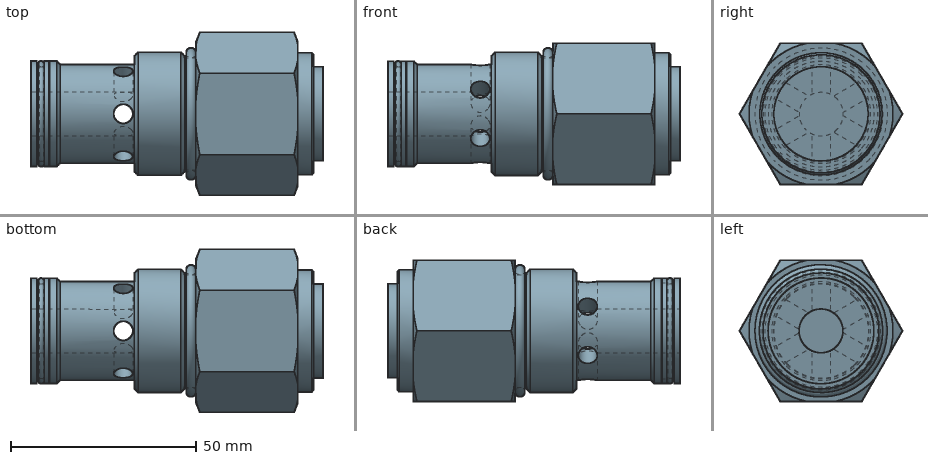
import cadquery as cq
import math


OVERALL_LENGTH = 78.75
SEAL_GROOVE_START = 1.6
SEAL_GROOVE_END = 5.0
NOSE_LAND_END = 6.9
COLLAR_START = 27.9
COLLAR_END = 41.4
HEX_START = 44.5
HEX_END = 72.0
FLANGE_END = 76.2

NOSE_DIAMETER = 28.5
BARREL_DIAMETER = 26.7
COLLAR_DIAMETER = 33.3
FLANGE_DIAMETER = 33.0
SEAL_GROOVE_DIAMETER = 25.8
FACE_GROOVE_DIAMETER = 30.3
NOSE_TAPER = (NOSE_DIAMETER - BARREL_DIAMETER) / 2
COLLAR_CHAMFER = 1.0
FLANGE_CHAMFER = 0.55

HEX_ACROSS_FLATS = 38.1
HEX_ACROSS_CORNERS = HEX_ACROSS_FLATS / math.cos(math.pi / 6)
HEX_FACE_DIAMETER = 38.8
HEX_CORNER_CHAMFER = 1.0

BORE_DIAMETER = 11.8
BORE_DEPTH = COLLAR_START
CROSS_HOLE_DIAMETER = 5.1
CROSS_HOLE_COUNT = 6
CROSS_HOLE_POSITION = 24.9

NOSE_RING_SECTION = 1.6
NOSE_RING_OUTER_DIAMETER = 28.6
NOSE_RING_CENTRE = 2.75
BACKUP_RING_START = NOSE_RING_CENTRE + NOSE_RING_SECTION / 2
BACKUP_RING_END = 4.8
FACE_RING_SECTION = 2.7
FACE_RING_OUTER_DIAMETER = FACE_GROOVE_DIAMETER + 2 * FACE_RING_SECTION
FACE_RING_CENTRE = HEX_START - FACE_RING_SECTION / 2

CAP_DIAMETER = 25.4


def cylinder(start, end, diameter):
    """Solid cylinder along X between two positions."""
    return cq.Workplane("YZ", origin=(start, 0, 0)).circle(diameter / 2).extrude(end - start)


def o_ring(centre, outer_diameter, section):
    """Torus around the X axis."""
    middle_radius = (outer_diameter - section) / 2
    return (
        cq.Workplane("XY")
        .center(centre, middle_radius)
        .circle(section / 2)
        .revolve(360, (0, -middle_radius), (1, -middle_radius))
    )


def make_turned_body():
    """Nose, barrel, collar, hexagon core and flange, revolved from one half profile."""
    nose = NOSE_DIAMETER / 2
    barrel = BARREL_DIAMETER / 2
    collar = COLLAR_DIAMETER / 2
    flange = FLANGE_DIAMETER / 2
    seal_floor = SEAL_GROOVE_DIAMETER / 2
    face_floor = FACE_GROOVE_DIAMETER / 2
    profile = [
        (0, 0),
        (0, nose),
        (SEAL_GROOVE_START, nose),
        (SEAL_GROOVE_START, seal_floor),
        (SEAL_GROOVE_END, seal_floor),
        (SEAL_GROOVE_END, nose),
        (NOSE_LAND_END, nose),
        (NOSE_LAND_END + NOSE_TAPER, barrel),
        (COLLAR_START, barrel),
        (COLLAR_START, collar - COLLAR_CHAMFER),
        (COLLAR_START + COLLAR_CHAMFER, collar),
        (COLLAR_END - COLLAR_CHAMFER, collar),
        (COLLAR_END, collar - COLLAR_CHAMFER),
        (COLLAR_END, face_floor),
        (HEX_START, face_floor),
        (HEX_START, flange),
        (FLANGE_END - FLANGE_CHAMFER, flange),
        (FLANGE_END, flange - FLANGE_CHAMFER),
        (FLANGE_END, 0),
    ]
    return cq.Workplane("XY").polyline(profile).close().revolve(360, (0, 0), (1, 0))


def make_hexagon():
    """Hexagonal prism with its corners turned down conically at both ends."""
    prism = (
        cq.Workplane("YZ", origin=(HEX_START, 0, 0))
        .polygon(6, HEX_ACROSS_CORNERS)
        .extrude(HEX_END - HEX_START)
    )
    face = HEX_FACE_DIAMETER / 2
    corner = HEX_ACROSS_CORNERS / 2
    envelope_profile = [
        (HEX_START, 0),
        (HEX_START, face),
        (HEX_START + HEX_CORNER_CHAMFER, corner),
        (HEX_END - HEX_CORNER_CHAMFER, corner),
        (HEX_END, face),
        (HEX_END, 0),
    ]
    envelope = cq.Workplane("XY").polyline(envelope_profile).close().revolve(360, (0, 0), (1, 0))
    return prism.intersect(envelope)


def make_cross_holes():
    """Radial drills, evenly spaced around the barrel; the first points up."""
    drill = (
        cq.Workplane("XY", origin=(CROSS_HOLE_POSITION, 0, 0))
        .circle(CROSS_HOLE_DIAMETER / 2)
        .extrude(BARREL_DIAMETER)
    )
    drills = cq.Workplane("XY")
    for index in range(CROSS_HOLE_COUNT):
        angle = index * 360 / CROSS_HOLE_COUNT
        drills = drills.union(drill.rotate((0, 0, 0), (1, 0, 0), angle))
    return drills


def make_housing():
    """Turned body and hexagon in one piece, with a blind bore and cross holes."""
    housing = make_turned_body().union(make_hexagon())
    housing = housing.cut(cylinder(0, BORE_DEPTH, BORE_DIAMETER))
    return housing.cut(make_cross_holes())


def make_backup_ring():
    """Flat ring behind the nose O-ring, flush with the nose."""
    ring = cylinder(BACKUP_RING_START, BACKUP_RING_END, NOSE_DIAMETER)
    return ring.cut(cylinder(BACKUP_RING_START, BACKUP_RING_END, SEAL_GROOVE_DIAMETER))


nose_o_ring = o_ring(NOSE_RING_CENTRE, NOSE_RING_OUTER_DIAMETER, NOSE_RING_SECTION)
housing = make_housing().cut(nose_o_ring)
backup_ring = make_backup_ring()
face_o_ring = o_ring(FACE_RING_CENTRE, FACE_RING_OUTER_DIAMETER, FACE_RING_SECTION)
end_cap = cylinder(FLANGE_END, OVERALL_LENGTH, CAP_DIAMETER)

result = cq.Compound.makeCompound([
    housing.val(),
    nose_o_ring.val(),
    backup_ring.val(),
    face_o_ring.val(),
    end_cap.val(),
])